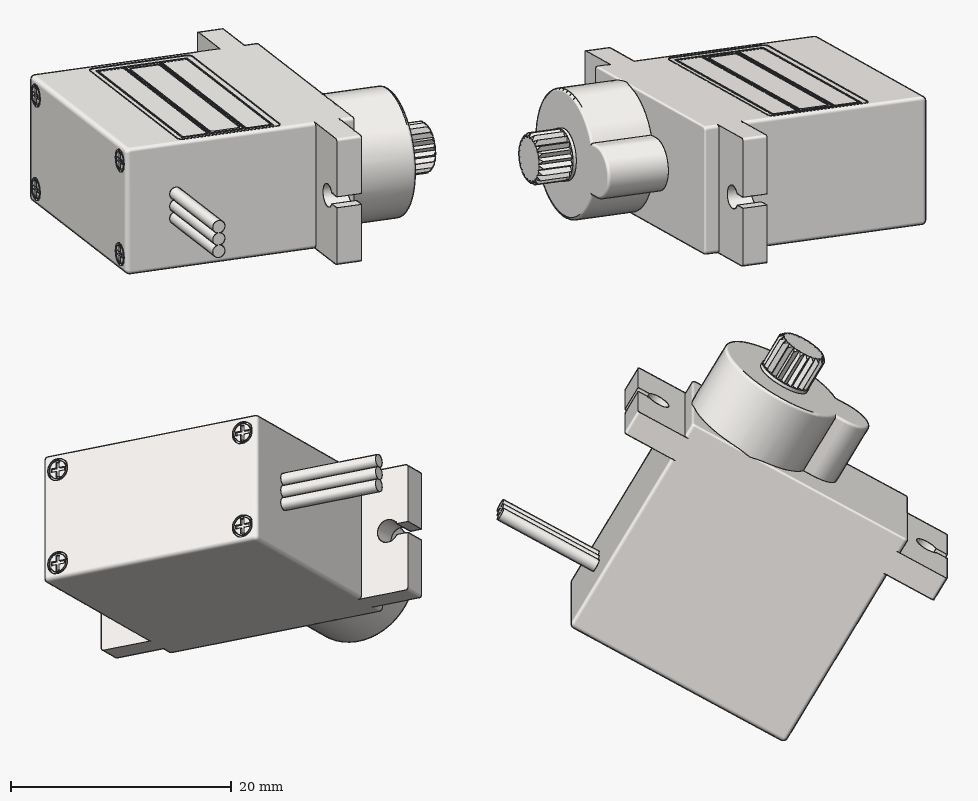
import cadquery as cq
import math


total_length = 37.33

case_length = 22.47
case_height = 22.47
case_width = 12.05
side_edge_radius = 0.35
floor_edge_radius = 0.45
top_edge_radius = 0.2

ear_span = 32.25
ear_bottom = 18.63
ear_thickness = 2.43
ear_corner_radius = 0.25
ear_hole_radius = 1.1
ear_hole_inset = 2.13
ear_slot_width = 1.05

boss_top = 28.52
boss_radius = case_width / 2
boss_center = case_length / 2 - boss_radius
idler_radius = 2.45
idler_center = -1.3
boss_edge_radius = 0.25
collar_radius = 2.43
collar_height = 0.35
shaft_top = 32.1
shaft_radius = 2.4
spline_root_radius = 1.98
spline_count = 21
shaft_chamfer = 0.3

wire_count = 3
wire_diameter = 1.2
wire_overlap = 0.02
wire_pitch = wire_diameter - wire_overlap
wire_length = total_length - (ear_span + case_length) / 2
wire_center_height = 4.85
wire_anchor = 0.75

label_length = 21.1
label_height = 10.08
label_center_height = 10.53
label_corner_radius = 0.5
recess_depth = 0.07
groove_depth = 0.07
panel_length = 19.55
title_panel_height = 2.45
main_panel_height = 3.32
panel_gap = 0.22
groove_side_width = 0.22
groove_end_width = 0.1
field_margin_x = 0.35
field_margin_y = 0.2
field_corner_radius = 0.3

screw_x = 9.7
screw_z = 4.48
screw_pocket_radius = 1.05
screw_head_radius = 0.85
screw_depth = 0.22
cross_length = 1.4
cross_width = 0.35


def from_height(y):
    """Workplane at height y whose local axes are X and Z and whose normal is +Y."""
    return cq.Workplane(cq.Plane(origin=(0, y, 0), xDir=(1, 0, 0), normal=(0, 1, 0)))


def make_case():
    case = from_height(0).rect(case_length, case_width).extrude(case_height)
    case = case.edges("|Y").fillet(side_edge_radius)
    case = case.faces("<Y").edges().fillet(floor_edge_radius)
    return case.faces(">Y").edges().fillet(top_edge_radius)


def make_ears():
    """Full-width bar through the case; each end has a round hole open to the outside by a slot."""
    ears = from_height(ear_bottom).rect(ear_span, case_width).extrude(ear_thickness)
    ears = ears.edges("|Y").fillet(ear_corner_radius)
    for side in (-1, 1):
        hole_x = side * (ear_span / 2 - ear_hole_inset)
        slot_x = side * (ear_span / 2 - ear_hole_inset / 2)
        hole = from_height(ear_bottom).center(hole_x, 0).circle(ear_hole_radius).extrude(ear_thickness)
        slot = from_height(ear_bottom).center(slot_x, 0)
        slot = slot.rect(ear_hole_inset, ear_slot_width).extrude(ear_thickness)
        ears = ears.cut(hole).cut(slot)
    return ears


def make_bosses():
    """Gearbox cylinder and smaller idler cylinder joined by a bridge, starting inside the case."""
    base = case_height - 2 * top_edge_radius
    height = boss_top - base
    main = from_height(base).center(boss_center, 0).circle(boss_radius).extrude(height)
    idler = from_height(base).center(idler_center, 0).circle(idler_radius).extrude(height)
    bridge_length = boss_center - idler_center
    bridge = from_height(base).center((idler_center + boss_center) / 2, 0)
    bridge = bridge.rect(bridge_length, 2 * idler_radius).extrude(height)
    bosses = main.union(idler).union(bridge)
    return bosses.faces(">Y").edges().fillet(boss_edge_radius)


def make_shaft():
    collar_top = boss_top + collar_height
    collar = from_height(boss_top).center(boss_center, 0).circle(collar_radius).extrude(collar_height)

    half_pitch_angle = math.pi / spline_count
    outline = []
    for corner in range(2 * spline_count):
        radius = shaft_radius if corner % 2 == 0 else spline_root_radius
        angle = corner * half_pitch_angle
        outline.append((radius * math.cos(angle), radius * math.sin(angle)))
    shaft_length = shaft_top - collar_top
    spline = from_height(collar_top).center(boss_center, 0).polyline(outline).close().extrude(shaft_length)

    envelope = from_height(collar_top).center(boss_center, 0).circle(shaft_radius).extrude(shaft_length)
    envelope = envelope.faces(">Y").chamfer(shaft_chamfer)
    return collar.union(spline.intersect(envelope))


def make_wires():
    """Flat ribbon of round wires leaving the +X side, anchored a little inside the case."""
    start = case_length / 2 - wire_anchor
    ribbon = cq.Workplane()
    for i in range(wire_count):
        z = (i - (wire_count - 1) / 2) * wire_pitch
        wire = cq.Workplane("YZ", origin=(start, wire_center_height, z))
        wire = wire.circle(wire_diameter / 2).extrude(wire_length + wire_anchor)
        ribbon = ribbon.add(wire)
    return ribbon.combine()


def label_plate(length, height, center_height, top, thickness, corner_radius=0):
    """Plate parallel to the +Z face whose outer surface is at Z = top."""
    plane = cq.Workplane("XY", origin=(0, center_height, top - thickness))
    plate = plane.rect(length, height).extrude(thickness)
    if corner_radius:
        plate = plate.edges("|Z").fillet(corner_radius)
    return plate


def make_label_recess():
    """Rounded recess with grooves around three panels; the middle panel has a sunk rounded field."""
    recess = label_plate(
        label_length, label_height, label_center_height, case_width / 2, recess_depth, label_corner_radius
    )

    recess_floor = case_width / 2 - recess_depth
    panel_stack_height = main_panel_height + 2 * (title_panel_height + panel_gap)
    grooves = label_plate(
        panel_length + 2 * groove_side_width,
        panel_stack_height + 2 * groove_end_width,
        label_center_height,
        recess_floor,
        groove_depth,
    )
    title_offset = (main_panel_height + title_panel_height) / 2 + panel_gap
    for offset, height in (
        (-title_offset, title_panel_height),
        (0, main_panel_height),
        (title_offset, title_panel_height),
    ):
        panel = label_plate(panel_length, height, label_center_height + offset, recess_floor, groove_depth)
        grooves = grooves.cut(panel)

    field = label_plate(
        panel_length - 2 * field_margin_x,
        main_panel_height - 2 * field_margin_y,
        label_center_height,
        recess_floor,
        groove_depth,
        field_corner_radius,
    )
    return recess.union(grooves).union(field)


def make_screw_recesses():
    """Ring gap around each screw head plus the cross slot in the head."""
    recess = from_height(0).circle(screw_pocket_radius).circle(screw_head_radius).extrude(screw_depth)
    recess = recess.union(from_height(0).rect(cross_length, cross_width).extrude(screw_depth))
    recess = recess.union(from_height(0).rect(cross_width, cross_length).extrude(screw_depth))
    recesses = cq.Workplane()
    for x in (-screw_x, screw_x):
        for z in (-screw_z, screw_z):
            recesses = recesses.add(recess.translate((x, 0, z)))
    return recesses.combine()


result = make_case().union(make_ears()).union(make_bosses()).union(make_shaft()).union(make_wires())
result = result.cut(make_label_recess()).cut(make_screw_recesses())